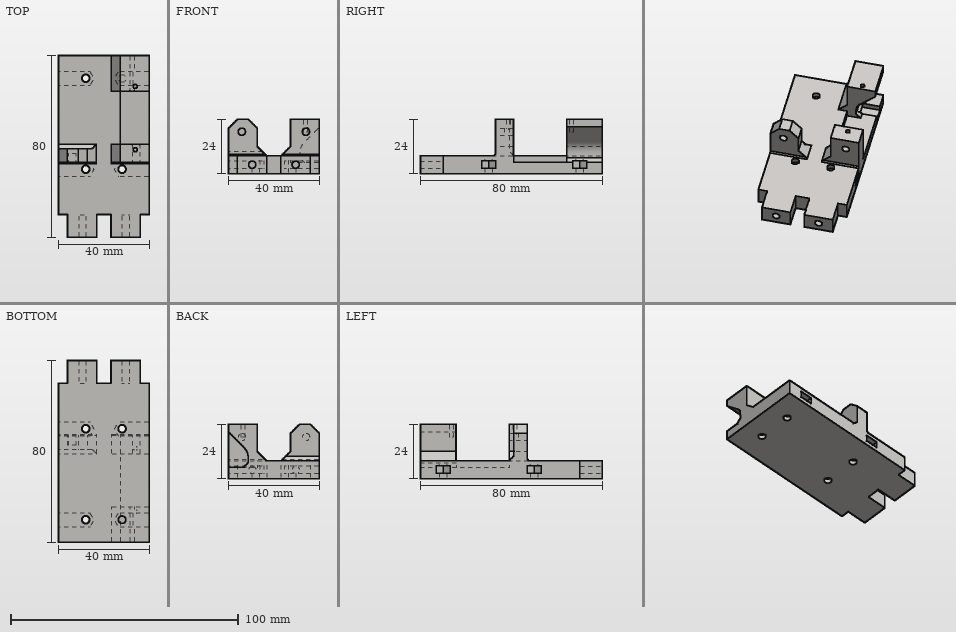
import cadquery as cq
import math

WIDTH = 40.0
LENGTH = 80.05
PLATE_TOP = 8.0
TAB_LENGTH = 10.0
TAB_INSET = 4.0
TAB_WIDTH = 12.9
TAB_HOLE_DIAMETER = 3.2
TAB_HOLE_HEIGHT = PLATE_TOP / 2

SCREW_INSET = 12.0
SCREW_ROWS = (30.0, 70.05)
SCREW_DIAMETER = 3.3
NUT_ACROSS_FLATS = 6.1
NUT_BOTTOM = 2.5
NUT_TOP = 5.8

TOP = 24.0
TOWER_WIDTH = 12.7
TOWER_FRONT = 33.0
TOWER_BACK = 41.0
FOOT = 4.0
FRONT_FOOT = 0.65
BACK_FOOT = 2.0
TOP_CHAMFER = 4.0
ROD_DIAMETER = 3.2
ROD_INSET = 5.9
ROD_HEIGHT = 18.5
LEFT_ROD_DEPTH = 4.0

BLOCK_FRONT = 64.4
RECESS_RADIUS = 6.6
RECESS_CENTER_X = 37.9
RECESS_CENTER_Z = 9.2
RECESS_FOOT_X = 33.5
POCKET_FLOOR = 5.0

SET_SCREW_DIAMETER = 1.8
SET_SCREW_X = 33.8
TOWER_SET_SCREW_Y = 38.6
BLOCK_SET_SCREW_Y = 66.45

RIGHT_INNER = WIDTH - TOWER_WIDTH


def box(x0, x1, y0, y1, z0, z1):
    """Box between opposite corners."""
    return cq.Workplane("XY").box(x1 - x0, y1 - y0, z1 - z0, centered=False).translate((x0, y0, z0))


def extrude_along_y(points, y0, y1):
    """Prism between two Y positions from an (x, z) outline."""
    return cq.Workplane("XZ", origin=(0, y0, 0)).polyline(points).close().extrude(y0 - y1)


def extrude_along_x(points, x0, x1):
    """Prism between two X positions from a (y, z) outline."""
    return cq.Workplane("YZ", origin=(x0, 0, 0)).polyline(points).close().extrude(x1 - x0)


def hole_along_y(x, z, diameter, y0, y1):
    return cq.Workplane("XZ", origin=(x, y0, z)).circle(diameter / 2).extrude(y0 - y1)


def hole_along_z(x, y, diameter, z0, z1):
    return cq.Workplane("XY", origin=(x, y, z0)).circle(diameter / 2).extrude(z1 - z0)


def base_plate():
    """Plate with two drilled tabs at the front."""
    plate = box(0, WIDTH, TAB_LENGTH, LENGTH, 0, PLATE_TOP)
    for x in (TAB_INSET, WIDTH - TAB_INSET - TAB_WIDTH):
        tab = box(x, x + TAB_WIDTH, 0, TAB_LENGTH, 0, PLATE_TOP)
        hole = hole_along_y(x + TAB_WIDTH / 2, TAB_HOLE_HEIGHT, TAB_HOLE_DIAMETER, 0, TAB_LENGTH)
        plate = plate.union(tab).cut(hole)
    return plate


def left_tower():
    """Tower with a chamfered top and sloped feet on its front, back and inner sides."""
    outline = [
        (0, PLATE_TOP),
        (TOWER_WIDTH + FOOT, PLATE_TOP),
        (TOWER_WIDTH, PLATE_TOP + FOOT),
        (TOWER_WIDTH, TOP - TOP_CHAMFER),
        (TOWER_WIDTH - TOP_CHAMFER, TOP),
        (TOP_CHAMFER, TOP),
        (0, TOP - TOP_CHAMFER),
    ]
    side = [
        (TOWER_FRONT - FRONT_FOOT, PLATE_TOP),
        (TOWER_BACK, PLATE_TOP),
        (TOWER_BACK - BACK_FOOT, PLATE_TOP + BACK_FOOT),
        (TOWER_BACK - BACK_FOOT, TOP),
        (TOWER_FRONT, TOP),
        (TOWER_FRONT, PLATE_TOP + FRONT_FOOT),
    ]
    tower = extrude_along_y(outline, TOWER_FRONT - FRONT_FOOT, TOWER_BACK)
    return tower.intersect(extrude_along_x(side, 0, WIDTH))


def right_upright(y0, y1):
    """Upright flush with the right side, with a sloped foot on its inner side."""
    outline = [
        (WIDTH, PLATE_TOP),
        (RIGHT_INNER - FOOT, PLATE_TOP),
        (RIGHT_INNER, PLATE_TOP + FOOT),
        (RIGHT_INNER, TOP),
        (WIDTH, TOP),
    ]
    return extrude_along_y(outline, y0, y1)


def right_tower():
    """Upright with a small sloped foot on its front."""
    side = [
        (TOWER_FRONT - FRONT_FOOT, PLATE_TOP),
        (TOWER_BACK, PLATE_TOP),
        (TOWER_BACK, TOP),
        (TOWER_FRONT, TOP),
        (TOWER_FRONT, PLATE_TOP + FRONT_FOOT),
    ]
    upright = right_upright(TOWER_FRONT - FRONT_FOOT, TOWER_BACK)
    return upright.intersect(extrude_along_x(side, 0, WIDTH))


def block_recess():
    """Round recess with a 45 degree roof and a 45 degree foot, open to the right."""
    wall_x = RECESS_CENTER_X - RECESS_RADIUS
    tangent = RECESS_RADIUS / math.sqrt(2)
    roof_start = (RECESS_CENTER_X - tangent, RECESS_CENTER_Z + tangent)
    roof_rise = WIDTH - roof_start[0]
    foot_top = POCKET_FLOOR + RECESS_FOOT_X - wall_x
    middle_angle = math.radians(157.5)
    arc_middle = (
        RECESS_CENTER_X + RECESS_RADIUS * math.cos(middle_angle),
        RECESS_CENTER_Z + RECESS_RADIUS * math.sin(middle_angle),
    )
    return (
        cq.Workplane("XZ", origin=(0, BLOCK_FRONT, 0))
        .moveTo(WIDTH, POCKET_FLOOR)
        .lineTo(RECESS_FOOT_X, POCKET_FLOOR)
        .lineTo(wall_x, foot_top)
        .lineTo(wall_x, RECESS_CENTER_Z)
        .threePointArc(arc_middle, roof_start)
        .lineTo(WIDTH, roof_start[1] + roof_rise)
        .close()
        .extrude(BLOCK_FRONT - LENGTH)
    )


def nut_slot(side_x, screw_x, y):
    """Slot from one side of the plate, ending in a hexagon around the screw."""
    height = NUT_TOP - NUT_BOTTOM
    corner_diameter = NUT_ACROSS_FLATS * 2 / math.sqrt(3)
    half = NUT_ACROSS_FLATS / 2
    start = cq.Workplane("XY", origin=(screw_x, y, NUT_BOTTOM))
    hexagon = start.polygon(6, corner_diameter).extrude(height)
    channel = box(min(side_x, screw_x), max(side_x, screw_x), y - half, y + half, NUT_BOTTOM, NUT_TOP)
    return channel.union(hexagon)


result = base_plate().union(left_tower()).union(right_tower()).union(right_upright(BLOCK_FRONT, LENGTH))

result = result.cut(box(RIGHT_INNER, WIDTH, TOWER_BACK, BLOCK_FRONT, POCKET_FLOOR, PLATE_TOP))
result = result.cut(block_recess())

for row_y in SCREW_ROWS:
    for plate_side, hole_x in ((0, SCREW_INSET), (WIDTH, WIDTH - SCREW_INSET)):
        result = result.cut(hole_along_z(hole_x, row_y, SCREW_DIAMETER, 0, PLATE_TOP))
        result = result.cut(nut_slot(plate_side, hole_x, row_y))

rod_holes = ((ROD_INSET, LEFT_ROD_DEPTH), (WIDTH - ROD_INSET, TOWER_BACK - TOWER_FRONT))
for rod_x, depth in rod_holes:
    result = result.cut(hole_along_y(rod_x, ROD_HEIGHT, ROD_DIAMETER, TOWER_FRONT, TOWER_FRONT + depth))

for screw_y in (TOWER_SET_SCREW_Y, BLOCK_SET_SCREW_Y):
    result = result.cut(hole_along_z(SET_SCREW_X, screw_y, SET_SCREW_DIAMETER, ROD_HEIGHT, TOP))